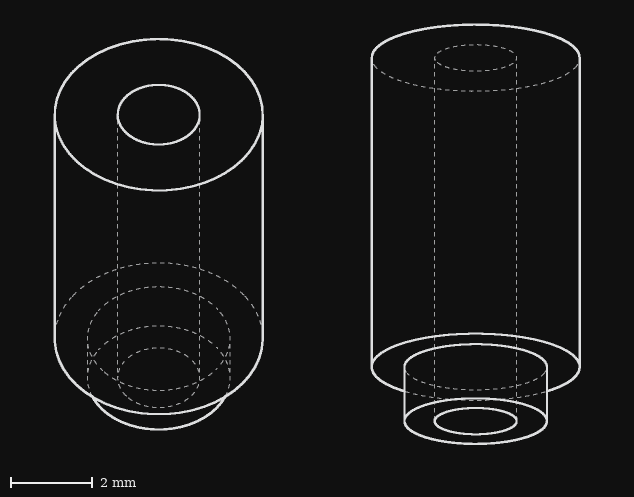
import cadquery as cq

total_height = 9.4
neck_height = 1.4
body_diameter = 5.1
neck_diameter = 3.5
bore_diameter = 2.01

body_height = total_height - neck_height

neck = cq.Workplane("XY").circle(neck_diameter / 2).extrude(neck_height)

body = (
    cq.Workplane("XY")
    .workplane(offset=neck_height)
    .circle(body_diameter / 2)
    .extrude(body_height)
)

bore = cq.Workplane("XY").circle(bore_diameter / 2).extrude(total_height)

result = neck.union(body).cut(bore)